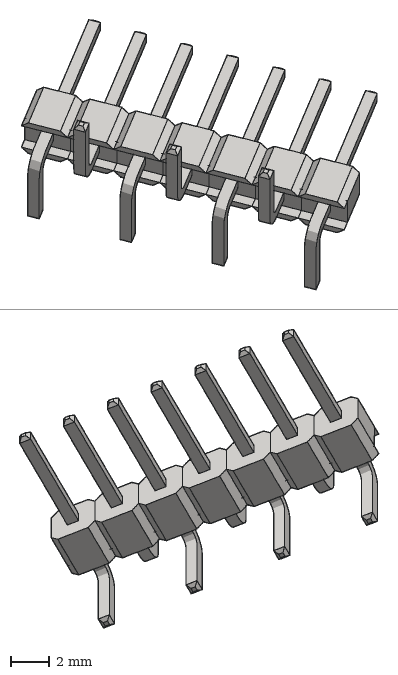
import cadquery as cq

row_length = 17.78
position_count = 7
pitch = row_length / position_count

block_size = pitch
corner_chamfer = 0.4
channel_height = block_size - 2 * corner_chamfer
lip_length = 0.53

pin_width = 0.64
tail_length = 6.0
total_depth = 10.37
leg_reach = 4.27
bend_inner_radius = 0.46
tip_chamfer = 0.2

half_pin = pin_width / 2
bend_outer_radius = bend_inner_radius + pin_width
leg_front_y = tail_length - total_depth
leg_back_y = leg_front_y + pin_width
leg_end_z = tip_chamfer - leg_reach
tail_end_y = tail_length - tip_chamfer
bend_start_y = leg_front_y + bend_outer_radius
bend_center_z = half_pin - bend_outer_radius


def make_block():
    """Octagonal block with a channel across its front, between two lips."""
    block = (
        cq.Workplane("XY")
        .box(pitch, block_size, block_size)
        .edges("|Y")
        .chamfer(corner_chamfer)
        .translate((0, -block_size / 2, 0))
    )
    channel = (
        cq.Workplane("XY")
        .box(pitch, lip_length, channel_height)
        .translate((0, -block_size + lip_length / 2, 0))
    )
    return block.cut(channel)


def make_tip():
    """Tapered pin end that starts at the origin and points to +Z."""
    return (
        cq.Workplane("XY")
        .rect(pin_width, pin_width)
        .workplane(offset=tip_chamfer)
        .rect(pin_width - 2 * tip_chamfer, pin_width - 2 * tip_chamfer)
        .loft(ruled=True)
    )


def make_pin():
    """Square pin with a tail toward +Y and a leg bent down toward -Z."""
    shaft = (
        cq.Workplane("YZ")
        .moveTo(tail_end_y, half_pin)
        .lineTo(bend_start_y, half_pin)
        .radiusArc((leg_front_y, bend_center_z), -bend_outer_radius)
        .lineTo(leg_front_y, leg_end_z)
        .lineTo(leg_back_y, leg_end_z)
        .lineTo(leg_back_y, bend_center_z)
        .radiusArc((bend_start_y, -half_pin), bend_inner_radius)
        .lineTo(tail_end_y, -half_pin)
        .close()
        .extrude(half_pin, both=True)
    )
    tail_tip = make_tip().rotate((0, 0, 0), (1, 0, 0), -90).translate((0, tail_end_y, 0))
    leg_tip = make_tip().rotate((0, 0, 0), (1, 0, 0), 180).translate((0, leg_front_y + half_pin, leg_end_z))
    return shaft.union(tail_tip).union(leg_tip)


def make_position(leg_up):
    """One body: a block and the pin that is one piece with it."""
    position = make_block().union(make_pin())
    if leg_up:
        position = position.mirror("XY")
    return position


positions = []
for index in range(position_count):
    center_x = (index - (position_count - 1) / 2) * pitch
    position = make_position(leg_up=index % 2 == 1)
    positions.append(position.translate((center_x, 0, 0)).val())

result = cq.Compound.makeCompound(positions)